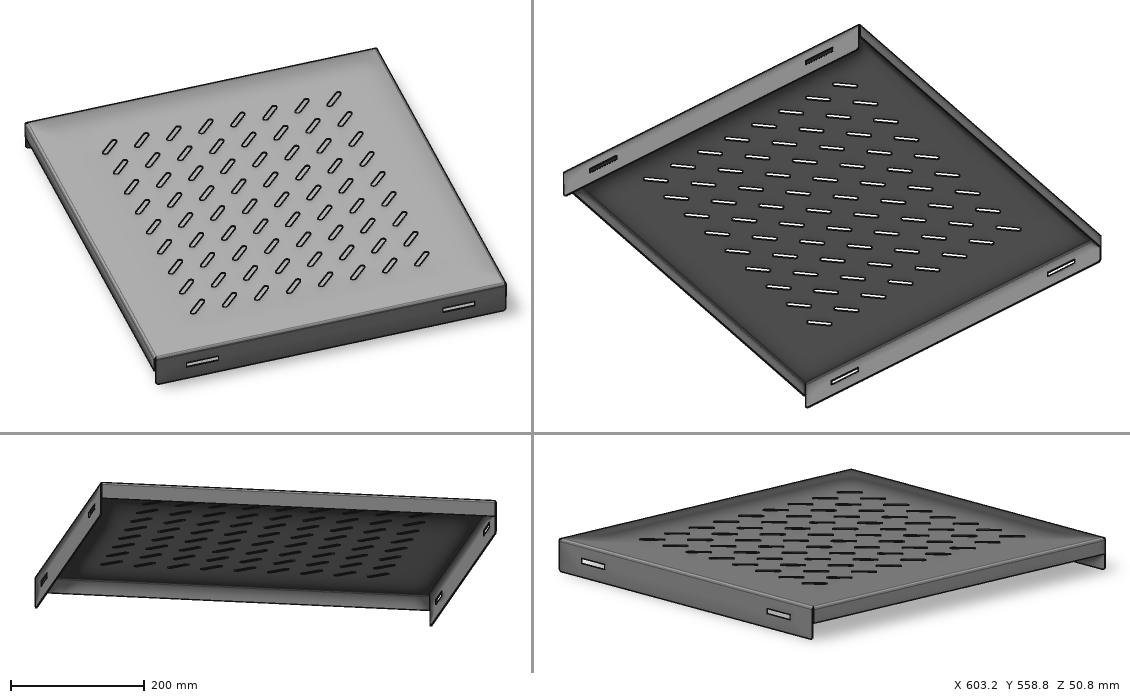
import cadquery as cq

WIDTH = 603.25
DEPTH = 558.8
HEIGHT = 50.8

THICKNESS = 1.9
OUTER_BEND_RADIUS = 4.2
INNER_BEND_RADIUS = OUTER_BEND_RADIUS - THICKNESS

LIP_HEIGHT = HEIGHT / 2
CORNER_GAP = 0.3
CORNER_INSET = THICKNESS + CORNER_GAP
FLANGE_CORNER_CHAMFER = 3.2

VENT_COLUMNS = 9
VENT_ROWS = 8
VENT_PITCH = 50.8
VENT_LENGTH = 38.1
VENT_WIDTH = 7.9
VENT_ANGLE = -45

MOUNT_LENGTH = 50.8
MOUNT_HEIGHT = VENT_WIDTH
MOUNT_EDGE_MARGIN = 50.8
MOUNT_SPACING = DEPTH - 2 * MOUNT_EDGE_MARGIN - MOUNT_LENGTH
MOUNT_Z = HEIGHT / 2


def rounded_block(width, depth, height, radius):
    """Block standing on the XY plane, centred on Z, whose four top edges are rounded."""
    block = cq.Workplane("XY").rect(width, depth).extrude(height)
    return block.faces(">Z").edges().fillet(radius)


def bent_tray():
    """Top panel with flanges of full height bent down along all four edges."""
    outside = rounded_block(WIDTH, DEPTH, HEIGHT, OUTER_BEND_RADIUS)
    inside = rounded_block(
        WIDTH - 2 * THICKNESS,
        DEPTH - 2 * THICKNESS,
        HEIGHT - THICKNESS,
        INNER_BEND_RADIUS,
    )
    return outside.cut(inside)


def below_lips():
    """Space under the front and rear flanges, between the side flanges."""
    return cq.Workplane("XY").box(
        WIDTH - 2 * THICKNESS, DEPTH, HEIGHT - LIP_HEIGHT, centered=(True, True, False)
    )


def corner_reliefs():
    """Square notches of full height that separate the four flanges at the corners."""
    return (
        cq.Workplane("XY")
        .rect(WIDTH, DEPTH, forConstruction=True)
        .vertices()
        .rect(2 * CORNER_INSET, 2 * CORNER_INSET)
        .extrude(HEIGHT)
    )


def side_flange_corners():
    """Triangular trims off the lower corners of both side flanges."""
    half_length = DEPTH / 2 - CORNER_INSET
    trims = cq.Workplane("YZ")
    for end in (-1, 1):
        trim = (
            cq.Workplane("YZ")
            .moveTo(end * half_length, 0)
            .lineTo(end * (half_length - FLANGE_CORNER_CHAMFER), 0)
            .lineTo(end * half_length, FLANGE_CORNER_CHAMFER)
            .close()
            .extrude(WIDTH / 2, both=True)
        )
        trims = trims.add(trim)
    return trims.combine()


def vent_slots():
    """Grid of diagonal slots through the top panel."""
    return (
        cq.Workplane("XY")
        .workplane(offset=HEIGHT - 2 * THICKNESS)
        .rarray(VENT_PITCH, VENT_PITCH, VENT_COLUMNS, VENT_ROWS)
        .slot2D(VENT_LENGTH, VENT_WIDTH, VENT_ANGLE)
        .extrude(3 * THICKNESS)
    )


def mounting_slots():
    """Two rectangular slots through both side flanges."""
    return (
        cq.Workplane("YZ")
        .pushPoints([(-MOUNT_SPACING / 2, MOUNT_Z), (MOUNT_SPACING / 2, MOUNT_Z)])
        .rect(MOUNT_LENGTH, MOUNT_HEIGHT)
        .extrude(WIDTH / 2, both=True)
    )


result = (
    bent_tray()
    .cut(below_lips())
    .cut(corner_reliefs())
    .cut(side_flange_corners())
    .cut(vent_slots())
    .cut(mounting_slots())
)